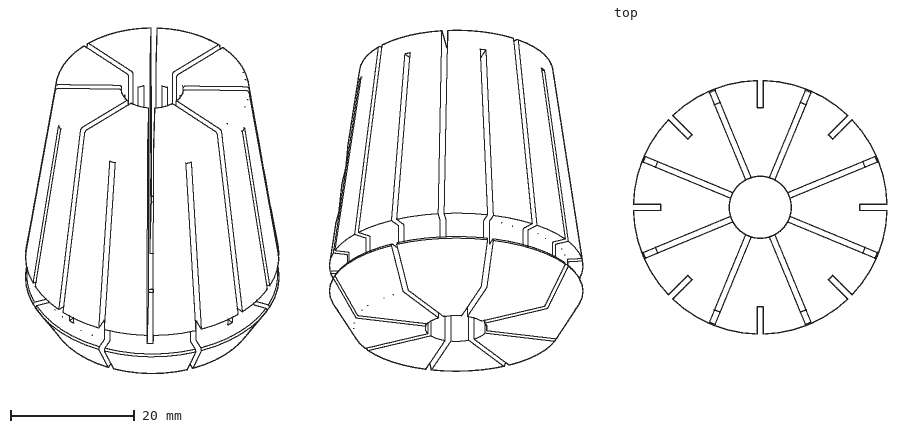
import cadquery as cq
import math

height = 46.0
max_diameter = 41.0
bore_diameter = 10.0

taper_angle = 8.0
taper_base_z = 11.1

groove_diameter = 36.25
flange_top_z = 7.05
flange_angle = 30.0

flange_chamfer = 0.45

top_fillet = 0.5
bore_fillet = 0.4
groove_fillet = 0.2
nose_fillet = 0.25

slot_count = 8
slot_width = 0.95
lower_slot_top_z = 42.45
upper_slot_floor_z = 7.5

max_radius = max_diameter / 2
groove_radius = groove_diameter / 2
bore_radius = bore_diameter / 2
taper_top_radius = max_radius - (height - taper_base_z) * math.tan(math.radians(taper_angle))

rim_z = flange_top_z - flange_chamfer * math.cos(math.radians(flange_angle))
flange_top_radius = max_radius + flange_chamfer * math.sin(math.radians(flange_angle)) - flange_chamfer
nose_radius = max_radius - rim_z * math.tan(math.radians(flange_angle))

slot_pitch = 360 / slot_count
match_tolerance = 0.005


def revolved_body():
    """Collet turned about Z with its flange chamfer but no rounding or slots."""
    profile = [
        (bore_radius, 0),
        (nose_radius, 0),
        (max_radius, rim_z),
        (flange_top_radius, flange_top_z),
        (groove_radius, flange_top_z),
        (groove_radius, taper_base_z),
        (max_radius, taper_base_z),
        (taper_top_radius, height),
        (bore_radius, height),
    ]
    return cq.Workplane("XZ").polyline(profile).close().revolve(360, (0, 0, 0), (0, 1, 0))


def round_edge(body, edge_radius, edge_z, fillet_radius):
    """Fillet the circular edge that has the given radius and height."""

    def is_wanted(edge):
        same_radius = abs(edge.radius() - edge_radius) < match_tolerance
        return same_radius and abs(edge.Center().z - edge_z) < match_tolerance

    return body.edges("%CIRCLE").filter(is_wanted).fillet(fillet_radius)


def radial_slots(bottom_z, top_z, first_angle):
    """Evenly spaced slot cutters running from the axis out past the body."""
    blade = cq.Workplane("XY").box(
        max_diameter, slot_width, top_z - bottom_z, centered=(False, True, False)
    )
    blade = blade.translate((0, 0, bottom_z))
    cutters = cq.Workplane("XY")
    for index in range(slot_count):
        angle = first_angle + index * slot_pitch
        cutters = cutters.add(blade.rotate((0, 0, 0), (0, 0, 1), angle))
    return cutters.combine()


body = revolved_body()
body = round_edge(body, taper_top_radius, height, top_fillet)
body = round_edge(body, bore_radius, height, bore_fillet)
body = round_edge(body, groove_radius, flange_top_z, groove_fillet)
body = round_edge(body, groove_radius, taper_base_z, groove_fillet)
body = round_edge(body, nose_radius, 0, nose_fillet)

lower_slots = radial_slots(0, lower_slot_top_z, 0)
upper_slots = radial_slots(upper_slot_floor_z, height, slot_pitch / 2)

result = body.cut(lower_slots).cut(upper_slots)